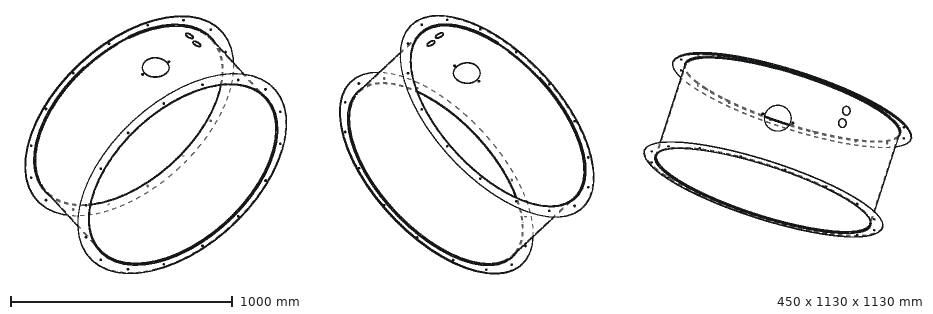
import cadquery as cq
import math

outer_diameter = 1130.0
overall_width = 450.0

sheet = 4.0
inner_bend_radius = 3.0
bore_radius = 504.0
flat_flange_radius = 553.0
lip_angle = 45

opening_diameter = 120.0
screw_hole_diameter = 8.0
screw_hole_offset = 71.0

cable_hole_diameter = 40.0
cable_hole_tilt = 33.4
cable_hole_spacing = 60.0
first_cable_hole_x = -145.0

bolt_count = 16
bolt_hole_diameter = 7.0
bolt_circle_radius = 536.0
first_bolt_angle = 360 / bolt_count / 2

half_width = overall_width / 2
rim_radius = outer_diameter / 2
barrel_radius = bore_radius + sheet
outer_bend_radius = inner_bend_radius + sheet


def point_on_bend(center, radius, angle):
    """Return the (x, r) point of a bend, with the angle measured from -X towards the rim."""
    x, r = center
    turn = math.radians(angle)
    return x - radius * math.cos(turn), r + radius * math.sin(turn)


def barrel():
    """Return the plain tube between the two bends."""
    length = overall_width - 2 * outer_bend_radius
    return (
        cq.Workplane("YZ", origin=(-length / 2, 0, 0))
        .circle(barrel_radius)
        .circle(bore_radius)
        .extrude(length)
    )


def flange():
    """Return the -X flange: bent outwards from the barrel, with a rim lip bent back over it."""
    face_x = -half_width
    bend_x = face_x + outer_bend_radius
    root_center = (bend_x, bore_radius + outer_bend_radius)
    lip_center = (bend_x, flat_flange_radius)

    slope = math.radians(lip_angle)
    lip_start = point_on_bend(lip_center, outer_bend_radius, lip_angle)
    tip_x = lip_start[0] + (rim_radius - lip_start[1]) * math.tan(slope)
    tip = (tip_x, rim_radius)
    tip_inside = (tip_x + sheet * math.cos(slope), rim_radius - sheet * math.sin(slope))

    section = (
        cq.Workplane("XZ")
        .moveTo(bend_x, bore_radius)
        .threePointArc(
            point_on_bend(root_center, outer_bend_radius, -45),
            point_on_bend(root_center, outer_bend_radius, 0),
        )
        .lineTo(face_x, flat_flange_radius)
        .threePointArc(point_on_bend(lip_center, outer_bend_radius, lip_angle / 2), lip_start)
        .lineTo(*tip)
        .lineTo(*tip_inside)
        .lineTo(*point_on_bend(lip_center, inner_bend_radius, lip_angle))
        .threePointArc(
            point_on_bend(lip_center, inner_bend_radius, lip_angle / 2),
            point_on_bend(lip_center, inner_bend_radius, 0),
        )
        .lineTo(*point_on_bend(root_center, inner_bend_radius, 0))
        .threePointArc(
            point_on_bend(root_center, inner_bend_radius, -45),
            point_on_bend(root_center, inner_bend_radius, -90),
        )
        .close()
    )
    return section.revolve(360, (0, 0, 0), (1, 0, 0))


def radial_hole(diameter, x, tilt):
    """Return a cutter from the axis outwards, tilted from +Z towards +Y."""
    return (
        cq.Workplane("XY")
        .center(x, 0)
        .circle(diameter / 2)
        .extrude(rim_radius)
        .rotate((0, 0, 0), (1, 0, 0), -tilt)
    )


def bolt_holes():
    """Return the cutters for the bolt holes through both flanges."""
    return (
        cq.Workplane("YZ", origin=(-half_width, 0, 0))
        .polarArray(bolt_circle_radius, first_bolt_angle, 360, bolt_count)
        .circle(bolt_hole_diameter / 2)
        .extrude(overall_width)
    )


left_flange = flange()
right_flange = left_flange.mirror("YZ")
result = barrel().union(left_flange).union(right_flange)
result = result.cut(bolt_holes())

result = result.cut(radial_hole(opening_diameter, 0, 0))
screw_hole_tilt = math.degrees(math.asin(screw_hole_offset / barrel_radius))
for side in (-1, 1):
    result = result.cut(radial_hole(screw_hole_diameter, 0, side * screw_hole_tilt))

for index in range(2):
    cable_hole_x = first_cable_hole_x + index * cable_hole_spacing
    result = result.cut(radial_hole(cable_hole_diameter, cable_hole_x, cable_hole_tilt))